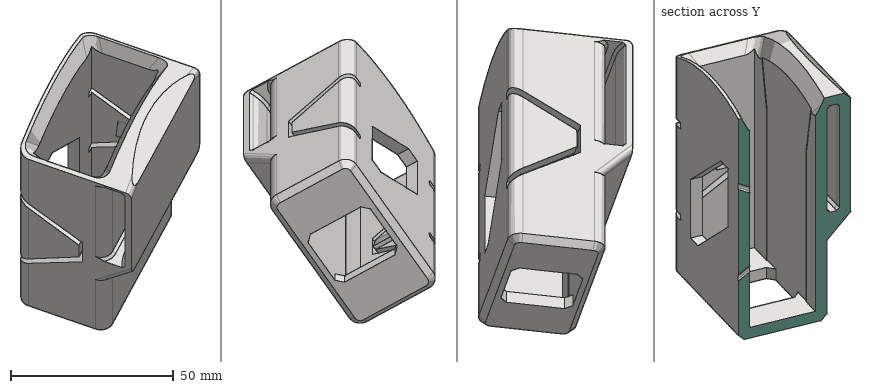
import cadquery as cq
import math

height = 83.0
body_depth = 30.5
width = 52.8
loop_x = 38.5
wall = 4.0
corner_radius = 4.0
bottom_chamfer = 2.1
half_width = width / 2
overshoot = 4.15

dome_edge_z = 76.8
dome_rise = height - dome_edge_z
dome_radius = (half_width**2 + dome_rise**2) / (2 * dome_rise)
dome_axis_z = height - dome_radius

cavity_back_x = 26.3
cavity_half_width = half_width - wall
relief_depth = 0.25
relief_back_x = cavity_back_x + relief_depth
relief_half_width = 13.9
relief_flare_z = 57.3
relief_flare_slope = 0.2
relief_top_half_width = relief_half_width + relief_flare_slope * (height - relief_flare_z)

mouth_flare = 2.8
mouth_depth = 5.65
mouth_end_flare = 3.3
mouth_end_depth = 4.7
mouth_end_base_z = 73.5
mouth_cone_reach = 16.6
mouth_wedge_reach = 6.6
mouth_corner_radius = 4.0

floor_hole_half_width = 10.0
floor_hole_chamfer = 2.15

loop_bottom_z = 27.3
loop_slope_top_z = 36.35
loop_edge_radius = 2.0
loop_top_chamfer = 6.0
loop_start_x = body_depth - corner_radius
strap_gap = 4.1
slot_bottom_z = 38.1
slot_top_z = 75.95
slot_chamfer = 0.9
slot_flare = 1.75
slot_flare_radius = 16.6
slot_flare_angle = math.radians(22)

tab_z = 38.9
tab_tip_x = 20.9
tab_tip_half_height = 3.0
tab_root_half_height = 15.3
slit_tip_x = 22.1
slit_tip_half_height = 4.9
slit_root_half_height = 17.4
slit_end_y = 20.2
slit_end_radius = 0.5
catch_length = 8.1
catch_depth = 1.4

window_half_width = 13.1
window_half_height = 19.3
window_z = 38.4
window_flat = 5.15
window_upright = 20.9


def box(x0, x1, y0, y1, z0, z1):
    return cq.Workplane("XY").box(x1 - x0, y1 - y0, z1 - z0, centered=False).translate((x0, y0, z0))


def side_prism(points, y0, y1):
    """Extrude an outline given as (x, z) points from y0 to y1."""
    return cq.Workplane("XZ", origin=(0, y0, 0)).polyline(points).close().extrude(y0 - y1)


def end_prism(points, x0, x1):
    """Extrude an outline given as (y, z) points from x0 to x1."""
    return cq.Workplane("YZ", origin=(x0, 0, 0)).polyline(points).close().extrude(x1 - x0)


def make_dome_space():
    """Everything under the domed top."""
    return (
        cq.Workplane("YZ")
        .moveTo(-half_width, 0)
        .lineTo(half_width, 0)
        .lineTo(half_width, dome_edge_z)
        .threePointArc((0, height), (-half_width, dome_edge_z))
        .close()
        .extrude(loop_x)
    )


def make_sleeve(dome_space):
    sleeve = box(0, body_depth, -half_width, half_width, 0, height)
    sleeve = sleeve.edges("|Z").fillet(corner_radius)
    sleeve = sleeve.faces("<Z").edges().chamfer(bottom_chamfer)
    return sleeve.intersect(dome_space)


def make_strap_slot():
    """Gap between the sleeve and the loop, widening toward both open ends."""
    inner_x = body_depth + strap_gap
    arc_length_y = slot_flare_radius * math.sin(slot_flare_angle)
    arc_rise = slot_flare_radius * (1 - math.cos(slot_flare_angle))
    lip_length_y = (slot_flare - arc_rise) / math.tan(slot_flare_angle)
    arc_end = (inner_x + arc_rise, half_width - lip_length_y)
    arc_start = (inner_x, arc_end[1] - arc_length_y)
    arc_mid = (
        inner_x + slot_flare_radius * (1 - math.cos(slot_flare_angle / 2)),
        arc_start[1] + slot_flare_radius * math.sin(slot_flare_angle / 2),
    )
    corner_y = half_width - corner_radius
    corner_shift = corner_radius * math.sqrt(0.5)
    corner_mid = (loop_start_x + corner_shift, corner_y + corner_shift)

    slot = (
        cq.Workplane("XY", origin=(0, 0, slot_bottom_z))
        .moveTo(body_depth, 0)
        .lineTo(body_depth, corner_y)
        .threePointArc(corner_mid, (loop_start_x, half_width))
        .lineTo(inner_x + slot_flare, half_width)
        .lineTo(*arc_end)
        .threePointArc(arc_mid, arc_start)
        .lineTo(inner_x, 0)
        .mirrorX()
        .extrude(slot_top_z - slot_bottom_z)
    )
    open_ends = cq.selectors.BoxSelector(
        (0, half_width - 0.1, 0), (loop_x, half_width + 0.1, height)
    ) + cq.selectors.BoxSelector((0, -half_width - 0.1, 0), (loop_x, -half_width + 0.1, height))
    rims = cq.selectors.StringSyntaxSelector("<Z or >Z")
    return slot.edges(rims - open_ends).chamfer(slot_chamfer)


def make_belt_loop(dome_space):
    slope_run = loop_slope_top_z - loop_bottom_z
    outline = [
        (loop_start_x, loop_bottom_z),
        (loop_x - slope_run, loop_bottom_z),
        (loop_x, loop_slope_top_z),
        (loop_x, height),
        (loop_start_x, height),
    ]
    loop = side_prism(outline, -half_width, half_width)
    slope_middle = (loop_x - slope_run / 2, 0, loop_slope_top_z - slope_run / 2)
    slope_face = loop.faces(cq.selectors.NearestToPointSelector(slope_middle))
    loop = slope_face.edges("not |Y").fillet(loop_edge_radius)
    loop = loop.intersect(dome_space)
    loop = loop.faces(">X").edges(">Z").fillet(loop_edge_radius)
    top_corner = [
        (loop_x - loop_top_chamfer, height),
        (loop_x, height - loop_top_chamfer),
        (loop_x, height),
    ]
    return loop.cut(side_prism(top_corner, -half_width, half_width)).cut(make_strap_slot())


def make_cavity():
    return box(wall, cavity_back_x, -cavity_half_width, cavity_half_width, wall, height)


def make_relief():
    outline = [
        (-relief_half_width, wall),
        (relief_half_width, wall),
        (relief_half_width, relief_flare_z),
        (relief_top_half_width, height),
        (-relief_top_half_width, height),
        (-relief_half_width, relief_flare_z),
    ]
    return end_prism(outline, wall, relief_back_x)


def make_mouth():
    """Flare that follows the dome: conical along X, flat along Y, with rounded corners."""
    base_radius = dome_radius - mouth_depth - mouth_cone_reach
    rim_radius = dome_radius + mouth_cone_reach
    x_per_radius = mouth_flare / mouth_depth
    base_inset = mouth_cone_reach * x_per_radius
    rim_offset = mouth_flare + base_inset
    cones = (
        cq.Workplane("XZ", origin=(0, 0, dome_axis_z))
        .polyline([
            (wall + base_inset, base_radius),
            (relief_back_x - base_inset, base_radius),
            (relief_back_x + rim_offset, rim_radius),
            (wall - rim_offset, rim_radius),
        ])
        .close()
        .revolve(360, (0, 0), (1, 0))
    )
    y_per_z = mouth_end_flare / mouth_end_depth
    low_half_width = cavity_half_width - mouth_wedge_reach * y_per_z
    top_z = height + overshoot
    top_half_width = cavity_half_width + (top_z - mouth_end_base_z) * y_per_z
    low_z = mouth_end_base_z - mouth_wedge_reach
    wedge = end_prism(
        [
            (-low_half_width, low_z),
            (low_half_width, low_z),
            (top_half_width, top_z),
            (-top_half_width, top_z),
        ],
        -loop_x,
        2 * loop_x,
    )
    mouth = cones.intersect(wedge)
    corner_edges = mouth.faces(">Y or <Y").edges("not |X")
    return corner_edges.fillet(mouth_corner_radius)


def make_floor_hole():
    hole = box(wall, relief_back_x, -floor_hole_half_width, floor_hole_half_width, 0, wall)
    return hole.edges("|Z").chamfer(floor_hole_chamfer)


def make_window():
    outline = [
        (window_half_width, -window_half_height),
        (window_half_width, window_upright - window_half_height),
        (window_flat - window_half_width, window_half_height),
        (-window_half_width, window_half_height),
        (-window_half_width, window_half_height - window_upright),
        (window_half_width - window_flat, -window_half_height),
    ]
    return end_prism(outline, 0, wall).translate((0, 0, window_z))


def make_slit():
    """V-shaped slit in the +Y wall, wrapping round onto the -X face."""
    outline = [
        (0, tab_z + slit_root_half_height),
        (slit_tip_x, tab_z + slit_tip_half_height),
        (slit_tip_x, tab_z - slit_tip_half_height),
        (0, tab_z - slit_root_half_height),
        (0, tab_z - tab_root_half_height),
        (tab_tip_x, tab_z - tab_tip_half_height),
        (tab_tip_x, tab_z + tab_tip_half_height),
        (0, tab_z + tab_root_half_height),
    ]
    slit = side_prism(outline, slit_end_y, half_width)
    return slit.faces("<Y").edges("not |Z").fillet(slit_end_radius)


def make_catch():
    """Wedge inside the tip of the +Y tab, sloping down into the cavity."""
    inner_y = cavity_half_width
    outline = [
        (inner_y, tab_z + tab_tip_half_height),
        (inner_y - catch_depth, tab_z - tab_tip_half_height),
        (inner_y, tab_z - tab_tip_half_height),
    ]
    return end_prism(outline, tab_tip_x - catch_length, tab_tip_x)


dome_space = make_dome_space()
holster = make_sleeve(dome_space).union(make_belt_loop(dome_space))
for cutter in (make_cavity(), make_relief(), make_mouth(), make_floor_hole(), make_window()):
    holster = holster.cut(cutter)

slit = make_slit()
catch = make_catch()
holster = holster.cut(slit).cut(slit.mirror("XZ"))
result = holster.union(catch).union(catch.mirror("XZ"))